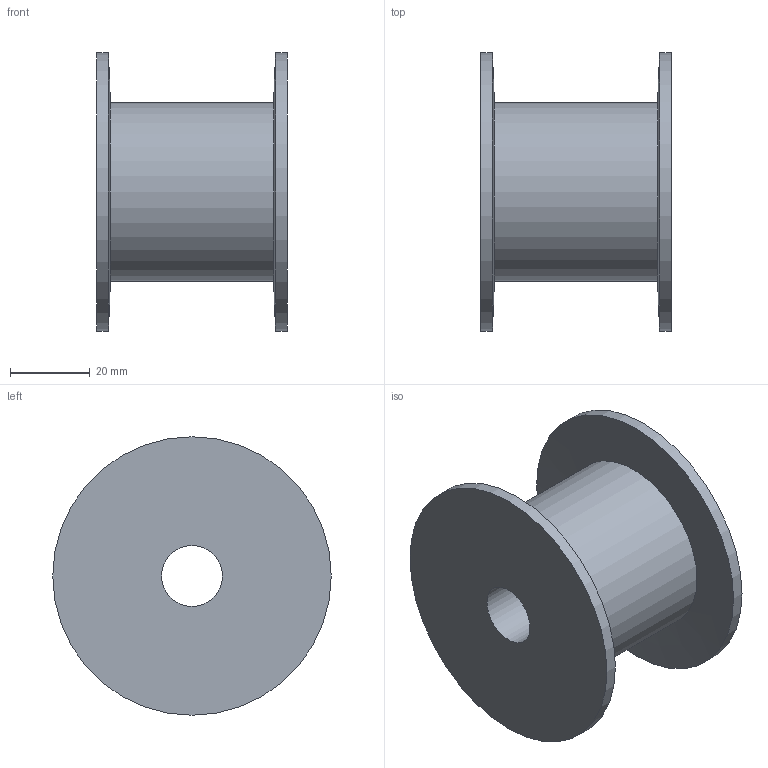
import cadquery as cq

spool_length = 48.0
flange_diameter = 70.0
barrel_diameter = 45.0
bore_diameter = 15.3

flange_rim_thickness = 3.0
flange_root_thickness = 3.5

half_length = spool_length / 2
flange_radius = flange_diameter / 2
barrel_radius = barrel_diameter / 2
rim_inner_x = half_length - flange_rim_thickness
root_inner_x = half_length - flange_root_thickness


def make_spool_body():
    """Solid barrel and both tapered flanges, revolved about the X axis."""
    half_section = (
        cq.Workplane("XZ")
        .moveTo(-half_length, 0)
        .lineTo(-half_length, flange_radius)
        .lineTo(-rim_inner_x, flange_radius)
        .lineTo(-root_inner_x, barrel_radius)
        .lineTo(root_inner_x, barrel_radius)
        .lineTo(rim_inner_x, flange_radius)
        .lineTo(half_length, flange_radius)
        .lineTo(half_length, 0)
        .close()
    )
    return half_section.revolve(360, (0, 0, 0), (1, 0, 0))


def make_bore():
    """Through hole along the spool axis."""
    return (
        cq.Workplane("YZ", origin=(-half_length, 0, 0))
        .circle(bore_diameter / 2)
        .extrude(spool_length)
    )


result = make_spool_body().cut(make_bore())